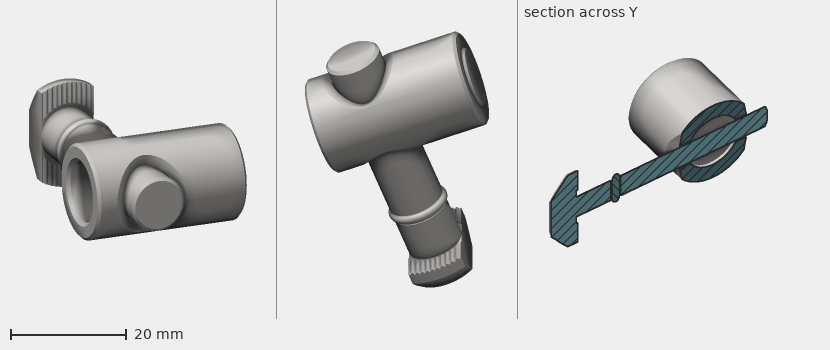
import cadquery as cq
import math


bolt_length = 45.7
shank_radius = 9.8 / 2
shank_end_chamfer = 0.5
head_radius = 19.0 / 2
head_face_radius = 12.0 / 2
head_taper = head_radius - head_face_radius
head_thickness = 5.8

tooth_pitch = 0.9
tooth_depth = tooth_pitch / 2
tooth_groove_count = 11

relief_radius = 5.7

ring_outer_radius = 10.8 / 2
ring_inner_radius = 7.2 / 2
ring_tube_radius = (ring_outer_radius - ring_inner_radius) / 2
ring_centre_x = 13.65
ring_groove_width = 2.0

housing_x = 34.2
housing_radius = 17.0 / 2
housing_front_y = -10.0
housing_back_y = 18.0
housing_chamfer = 0.5
bore_radius = 10.8 / 2
bore_mouth_radius = 12.0 / 2
cross_hole_radius = 10.0 / 2

mouth_depth = 0.6
mouth_width = 1.5
mouth_points = 48

screw_back_y = 18.5
screw_end_radius = 10.0 / 2
screw_chamfer = bore_radius - screw_end_radius


def x_cylinder(radius, start, end):
    """Cylinder along the X axis."""
    return cq.Workplane("YZ", origin=(start, 0, 0)).circle(radius).extrude(end - start)


def y_cylinder(radius, start, end):
    """Cylinder along Y on the housing axis."""
    return cq.Workplane("XZ", origin=(housing_x, start, 0)).circle(radius).extrude(start - end)


def make_head():
    """Tapered round head with two flats level with the shank sides and a toothed back."""
    head = x_cylinder(head_radius, 0, head_thickness).faces("<X").chamfer(head_taper)
    head = head.intersect(
        cq.Workplane("XY").box(3 * head_thickness, 2 * shank_radius, 2 * head_radius)
    )
    tooth_root_x = head_thickness - tooth_depth
    for index in range(tooth_groove_count):
        groove_y = (index - (tooth_groove_count - 1) / 2) * tooth_pitch
        groove = (
            cq.Workplane("XY")
            .polyline([
                (tooth_root_x, groove_y),
                (head_thickness, groove_y - tooth_pitch / 2),
                (head_thickness, groove_y + tooth_pitch / 2),
            ])
            .close()
            .extrude(head_radius, both=True)
        )
        head = head.cut(groove)
    return head.cut(x_cylinder(relief_radius, tooth_root_x, head_thickness))


def make_bolt():
    shank_start = head_thickness / 2
    shank = x_cylinder(shank_radius, shank_start, bolt_length).faces(">X").chamfer(shank_end_chamfer)
    groove_start = ring_centre_x - ring_groove_width / 2
    groove_end = ring_centre_x + ring_groove_width / 2
    ring_groove = x_cylinder(shank_radius, groove_start, groove_end).cut(
        x_cylinder(ring_inner_radius, groove_start, groove_end)
    )
    return make_head().union(shank.cut(ring_groove))


def make_o_ring():
    ring_path_radius = ring_inner_radius + ring_tube_radius
    return (
        cq.Workplane("XY", origin=(ring_centre_x, ring_path_radius, 0))
        .circle(ring_tube_radius)
        .revolve(360, (0, -ring_path_radius, 0), (1, -ring_path_radius, 0))
    )


def mouth_curve(reach):
    """Closed curve across the mouth chamfer: reach 0 is its inner edge, reach 1 its outer edge.

    Both edges lie square below the curve where the hole, grown by mouth_width, crosses
    the housing cylinder, shrunk by mouth_depth.
    """
    wide_radius = cross_hole_radius + mouth_width
    deep_radius = housing_radius - mouth_depth
    points = []
    for index in range(mouth_points):
        angle = 2 * math.pi * index / mouth_points
        wide_z = wide_radius * math.sin(angle)
        deep_x = math.sqrt(deep_radius ** 2 - wide_z ** 2)
        inner = cq.Vector(
            deep_x, cross_hole_radius * math.cos(angle), cross_hole_radius * math.sin(angle)
        )
        surface_scale = housing_radius / deep_radius
        outer = cq.Vector(
            deep_x * surface_scale, wide_radius * math.cos(angle), wide_z * surface_scale
        )
        points.append(inner + (outer - inner) * reach)
    return points


def make_mouth_cutter():
    """Ring that cuts the chamfer of the +X mouth, for a housing axis at x = 0."""
    inner_reach = -0.1
    outer_reach = 1.3
    end_x = 1.5 * housing_radius

    def closed_wire(points):
        return cq.Wire.assembleEdges([cq.Edge.makeSpline(points, periodic=True)])

    inner_points = mouth_curve(inner_reach)
    outer_points = mouth_curve(outer_reach)
    inner_wire = closed_wire(inner_points)
    outer_wire = closed_wire(outer_points)
    inner_end = closed_wire([cq.Vector(end_x, point.y, point.z) for point in inner_points])
    outer_end = closed_wire([cq.Vector(end_x, point.y, point.z) for point in outer_points])
    faces = [
        cq.Face.makeRuledSurface(inner_wire, outer_wire),
        cq.Face.makeRuledSurface(outer_wire, outer_end),
        cq.Face.makeRuledSurface(inner_wire, inner_end),
        cq.Face.makeFromWires(outer_end, [inner_end]),
    ]
    return cq.Workplane(cq.Solid.makeSolid(cq.Shell.makeShell(faces)).fix())


def make_housing():
    housing = y_cylinder(housing_radius, housing_front_y, housing_back_y)
    housing = housing.faces("<Y or >Y").chamfer(housing_chamfer)
    bore = y_cylinder(bore_radius, housing_front_y, housing_back_y)
    housing = housing.cut(bore)
    bore_rim = housing.faces("<Y").edges(cq.selectors.RadiusNthSelector(0))
    housing = bore_rim.chamfer(bore_mouth_radius - bore_radius)
    housing = housing.cut(
        x_cylinder(cross_hole_radius, housing_x - housing_radius, housing_x + housing_radius)
    )
    cutter = make_mouth_cutter()
    for turn in (0, 180):
        housing = housing.cut(cutter.rotate((0, 0, 0), (0, 0, 1), turn).translate((housing_x, 0, 0)))
    return housing


def make_set_screw():
    """Screw that fills the back of the bore and presses on the shank."""
    return y_cylinder(bore_radius, shank_radius, screw_back_y).faces(">Y").chamfer(screw_chamfer)


bolt = make_bolt()
o_ring = make_o_ring()
housing = make_housing()
set_screw = make_set_screw()

bodies = [bolt, o_ring, housing, set_screw]
result = cq.Compound.makeCompound([body.solids().val() for body in bodies])